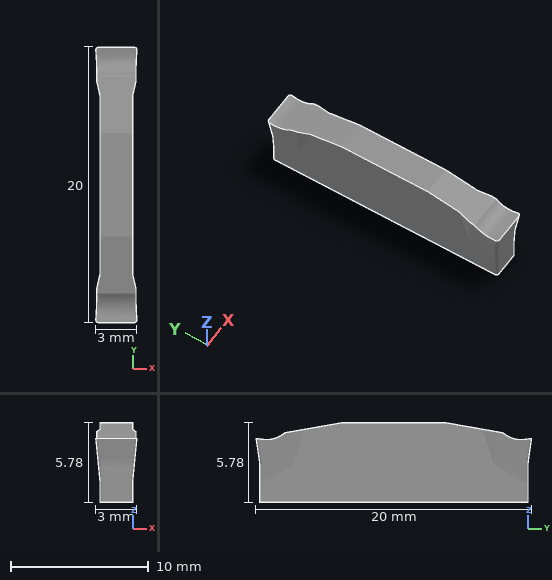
import cadquery as cq
import math

half_length = 20.0 / 2
height = 5.78
half_body = 2.38 / 2

tip_height = 4.65
lip_inset, lip_height = 0.45, 4.58
groove_inset, groove_height = 1.2, 4.6
crest_start_inset, crest_start_height = 2.0, 4.98
crest_middle_inset, crest_middle_height = 2.1, 5.05
crest_end_inset = 2.25
flat_inset = 6.25
ramp_angle = math.radians(10)
crest_end_height = height - (flat_inset - crest_end_inset) * math.tan(ramp_angle)

foot_inset = 0.25
foot_height = 2.6
clearance_bottom = 3.1
clearance_angle = 2 * math.atan(
    foot_inset / (tip_height - foot_height + tip_height - clearance_bottom)
)
corner_radius = 0.22

apex_inset, apex_height = 2.68, 2.68
head_edge_slope = 0.57
flank_taper = 0.093
neck_slope = 3.0
neck_taper = 0.24
neck_radius = 0.3

overrun = 0.4
tolerance = 0.02


def make_outline():
    """Side outline of one end, extruded past the widest part of the head."""
    arc_radius = (clearance_bottom - foot_height) / math.sin(clearance_angle)

    def clearance_arc_point(angle):
        inset = foot_inset - arc_radius * (1 - math.cos(angle))
        return half_length - inset, foot_height + arc_radius * math.sin(angle)

    def at(inset, z):
        return half_length - inset, z

    return (
        cq.Workplane("YZ")
        .lineTo(*at(foot_inset, 0))
        .lineTo(*at(foot_inset, foot_height))
        .threePointArc(clearance_arc_point(clearance_angle / 2), clearance_arc_point(clearance_angle))
        .lineTo(*at(0, tip_height))
        .lineTo(*at(lip_inset, lip_height))
        .threePointArc(at(groove_inset, groove_height), at(crest_start_inset, crest_start_height))
        .threePointArc(
            at(crest_middle_inset, crest_middle_height), at(crest_end_inset, crest_end_height)
        )
        .lineTo(*at(flat_inset, height))
        .lineTo(0, height)
        .close()
        .extrude(2 * half_body)
    )


def make_flare():
    """Wedge on the side of the body, bounded by the flank and neck planes."""
    top = height + overrun
    front_inset = -overrun
    rise = top - apex_height
    flank_drop = flank_taper * head_edge_slope
    apex_standout = flank_taper * rise
    foot_z = apex_height - head_edge_slope * (apex_inset - front_inset)

    def flank_standout(inset):
        return apex_standout + flank_drop * (apex_inset - inset)

    neck_inset = apex_inset + rise / neck_slope
    ridge_inset = (neck_taper * neck_inset - flank_standout(0)) / (neck_taper - flank_drop)

    def point(standout, inset, z):
        return cq.Vector(half_body + standout, half_length - inset, z)

    apex = point(0, apex_inset, apex_height)
    foot = point(0, front_inset, foot_z)
    inner_front = point(0, front_inset, top)
    outer_front = point(flank_standout(front_inset), front_inset, top)
    ridge = point(flank_standout(ridge_inset), ridge_inset, top)
    neck = point(0, neck_inset, top)
    loops = [
        [foot, apex, neck, inner_front],
        [foot, apex, ridge, outer_front],
        [apex, neck, ridge],
        [inner_front, outer_front, ridge, neck],
        [foot, outer_front, inner_front],
    ]
    faces = [cq.Face.makeFromWires(cq.Wire.makePolygon(loop, close=True)) for loop in loops]
    return cq.Workplane(cq.Solid.makeSolid(cq.Shell.makeShell(faces)))


def edges_within(inset_min, inset_max):
    """Select edges lying wholly on the outer side, between two insets."""
    return cq.selectors.BoxSelector(
        (half_body - tolerance, half_length - inset_max - tolerance, -tolerance),
        (2 * half_body, half_length - inset_min + tolerance, height),
        boundingbox=True,
    )


envelope = cq.Workplane().box(half_body, half_length + overrun, height + overrun, centered=False)
quarter = envelope.union(make_flare()).intersect(make_outline())

quarter = quarter.edges(edges_within(0, foot_inset)).fillet(corner_radius)
quarter = quarter.edges(edges_within(apex_inset - 0.2, apex_inset)).fillet(neck_radius)

half = quarter.union(quarter.mirror("YZ"))
result = half.union(half.mirror("XZ")).clean()